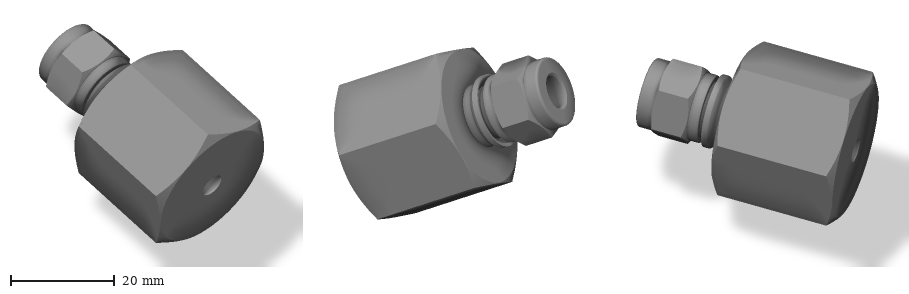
import cadquery as cq
import math

total_length = 42.65

body_start = 17.83
body_flats = 27.0
body_face_dia = 26.8

nut_start = 3.05
nut_end = 10.55
nut_flats = 14.35
nut_face_dia = 13.9
hex_chamfer_angle = 30.0

collar_dia = 13.8
collar_round = 0.5
skirt_dia = 13.6
skirt_end = 12.6
skirt_chamfer = 0.35
skirt_chamfer_depth = 0.1
neck_dia = 11.15
flange_dia = 14.6
flange_start = 13.55
flange_cone_start = 14.75
shoulder_dia = 12.6
shoulder_start = 15.82
shoulder_chamfer = 0.35

recess_dia = 13.9
recess_root_dia = 10.58
neck_end = 14.0
recess_root_start = 14.4
recess_end = 15.0

through_dia = 4.8
socket_dia = 6.55
socket_depth = 12.8
socket_mouth_dia = 7.4
socket_mouth_depth = 0.43


def revolve_about_x(profile):
    """Turn a closed (x, radius) profile about the X axis."""
    return cq.Workplane("XY").polyline(profile).close().revolve(360, (0, 0, 0), (1, 0, 0))


def cylinder(start, end, diameter):
    return cq.Workplane("YZ", origin=(start, 0, 0)).circle(diameter / 2).extrude(end - start)


def chamfered_hex(start, end, flats, face_dia, turn):
    """Hexagonal prism along X with conical chamfers on the corners of both ends."""
    corner_radius = flats / math.sqrt(3)
    face_radius = face_dia / 2
    cone_length = (corner_radius - face_radius) * math.tan(math.radians(hex_chamfer_angle))
    prism = cq.Workplane("YZ", origin=(start, 0, 0)).polygon(6, 2 * corner_radius).extrude(end - start)
    envelope = revolve_about_x([
        (start, 0),
        (start, face_radius),
        (start + cone_length, corner_radius),
        (end - cone_length, corner_radius),
        (end, face_radius),
        (end, 0),
    ])
    return prism.rotate((0, 0, 0), (1, 0, 0), turn).intersect(envelope)


def compression_nut():
    """Rounded collar, hexagon and slightly chamfered skirt."""
    collar = cylinder(0, nut_start, collar_dia).faces("<X").edges().fillet(collar_round)
    hexagon = chamfered_hex(nut_start, nut_end, nut_flats, nut_face_dia, 0)
    skirt = cylinder(nut_end, skirt_end, skirt_dia)
    skirt = skirt.faces(">X").edges().chamfer(skirt_chamfer, skirt_chamfer_depth)
    return collar.union(hexagon).union(skirt)


def stem():
    """Neck, hollow-faced conical flange and shoulder between the nut and the body."""
    return revolve_about_x([
        (skirt_end, 0),
        (skirt_end, neck_dia / 2),
        (neck_end, neck_dia / 2),
        (recess_root_start, recess_root_dia / 2),
        (recess_end, recess_root_dia / 2),
        (flange_start, recess_dia / 2),
        (flange_start, flange_dia / 2),
        (flange_cone_start, flange_dia / 2),
        (shoulder_start, shoulder_dia / 2),
        (body_start - shoulder_chamfer, shoulder_dia / 2),
        (body_start, shoulder_dia / 2 - shoulder_chamfer),
        (body_start, 0),
    ])


def bore():
    """Tapered mouth, tube socket and smaller hole through to the far end."""
    return revolve_about_x([
        (0, 0),
        (0, socket_mouth_dia / 2),
        (socket_mouth_depth, socket_dia / 2),
        (socket_depth, socket_dia / 2),
        (socket_depth, through_dia / 2),
        (total_length, through_dia / 2),
        (total_length, 0),
    ])


body = chamfered_hex(body_start, total_length, body_flats, body_face_dia, 30)
result = body.union(stem()).union(compression_nut()).cut(bore())